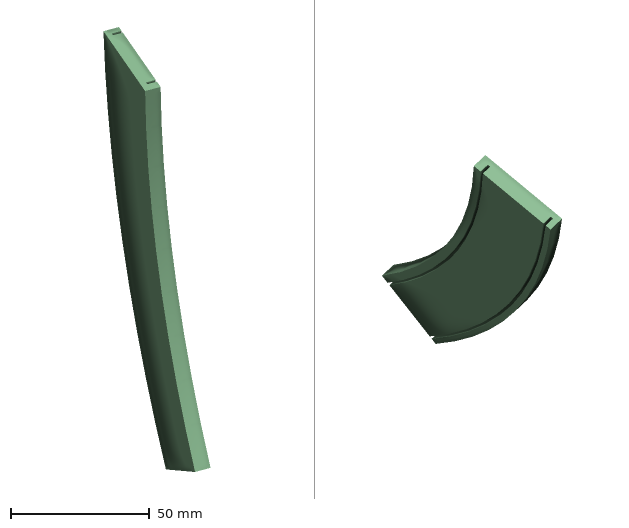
import cadquery as cq
import math

thickness = 6.0
height = 160.0
top_width = 38.0

outer_radius = 309.3
outer_top = (0.0, height)
outer_bottom = (56.8, 0.0)
inner_radius = 263.4
inner_top = (top_width, height)
inner_bottom = (83.4, 18.0)

groove_width = 1.1
groove_depth = 3.8
outer_groove_inset = 2.4
inner_groove_inset = 3.4


def arc_center(top, bottom, radius):
    """Centre, on the +X side, of the arc of this radius from top to bottom."""
    run = bottom[0] - top[0]
    drop = top[1] - bottom[1]
    chord = math.hypot(run, drop)
    center_distance = math.sqrt(radius**2 - (chord / 2) ** 2)
    middle_x = (top[0] + bottom[0]) / 2
    middle_z = (top[1] + bottom[1]) / 2
    return (middle_x + center_distance * drop / chord, middle_z + center_distance * run / chord)


def arc_middle(top, bottom, radius):
    """Point halfway along the arc from top to bottom."""
    center = arc_center(top, bottom, radius)
    to_chord_x = (top[0] + bottom[0]) / 2 - center[0]
    to_chord_z = (top[1] + bottom[1]) / 2 - center[1]
    stretch = radius / math.hypot(to_chord_x, to_chord_z)
    return (center[0] + stretch * to_chord_x, center[1] + stretch * to_chord_z)


def make_plate():
    """Curved plate from the front face at Y = 0 to the back face at Y = thickness."""
    return (
        cq.Workplane("XZ")
        .moveTo(*outer_top)
        .threePointArc(arc_middle(outer_top, outer_bottom, outer_radius), outer_bottom)
        .lineTo(*inner_bottom)
        .threePointArc(arc_middle(inner_top, inner_bottom, inner_radius), inner_top)
        .close()
        .extrude(-thickness)
    )


def make_groove(center, small_radius):
    """Ring-shaped cutter, groove_width wide, sunk into the back face."""
    return (
        cq.Workplane("XZ", origin=(0, thickness - groove_depth, 0))
        .center(*center)
        .circle(small_radius + groove_width)
        .circle(small_radius)
        .extrude(-groove_depth)
    )


outer_groove = make_groove(
    arc_center(outer_top, outer_bottom, outer_radius),
    outer_radius - outer_groove_inset - groove_width,
)
inner_groove = make_groove(
    arc_center(inner_top, inner_bottom, inner_radius),
    inner_radius + inner_groove_inset,
)

result = make_plate().cut(outer_groove).cut(inner_groove)